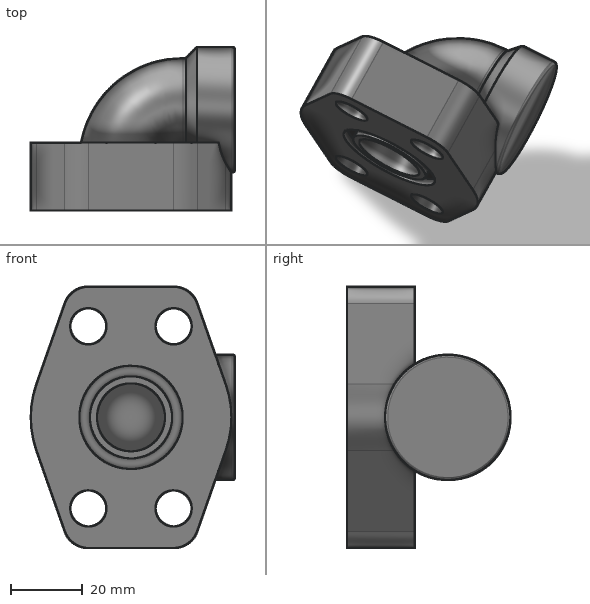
import cadquery as cq
import math

flange_height = 73.0
flange_width = 56.0
flange_thickness = 19.0
corner_radius = 7.0
bolt_x = 11.9
bolt_z = 25.4
bolt_diameter = 10.0

bore_diameter = 19.0
bore_depth = flange_thickness
groove_inner_diameter = 22.9
groove_outer_diameter = 28.8
groove_depth = 2.1

pipe_radius = 14.45
bend_radius = 14.5
outlet_y = 28.2
neck_length = 0.8

collar_radius = 17.5
collar_end_x = 29.0
collar_edge_radius = 0.7


def cylinder_along_y(diameter, depth):
    return cq.Workplane("XZ").circle(diameter / 2).extrude(-depth)


def make_flange():
    """Plate bounded by a central circle, rounded corners and their common tangents."""
    side_radius = flange_width / 2
    corner_x = bolt_x
    corner_z = flange_height / 2 - corner_radius
    tilt = math.atan2(corner_z, corner_x) - math.acos(
        (side_radius - corner_radius) / math.hypot(corner_x, corner_z)
    )
    corner_mid = (tilt + math.pi / 2) / 2

    def corner_point(angle):
        return (
            corner_x + corner_radius * math.cos(angle),
            corner_z + corner_radius * math.sin(angle),
        )

    side_x = side_radius * math.cos(tilt)
    side_z = side_radius * math.sin(tilt)
    end_x, end_z = corner_point(tilt)
    mid_x, mid_z = corner_point(corner_mid)
    top_z = flange_height / 2

    return (
        cq.Workplane("XZ")
        .moveTo(side_x, -side_z)
        .threePointArc((side_radius, 0), (side_x, side_z))
        .lineTo(end_x, end_z)
        .threePointArc((mid_x, mid_z), (corner_x, top_z))
        .lineTo(-corner_x, top_z)
        .threePointArc((-mid_x, mid_z), (-end_x, end_z))
        .lineTo(-side_x, side_z)
        .threePointArc((-side_radius, 0), (-side_x, -side_z))
        .lineTo(-end_x, -end_z)
        .threePointArc((-mid_x, -mid_z), (-corner_x, -top_z))
        .lineTo(corner_x, -top_z)
        .threePointArc((mid_x, -mid_z), (end_x, -end_z))
        .close()
        .extrude(-flange_thickness)
    )


def make_elbow():
    """Quarter bend that starts inside the flange and ends facing +X."""
    bend_start_y = outlet_y - bend_radius
    return (
        cq.Workplane("XZ", origin=(0, bend_start_y, 0))
        .circle(pipe_radius)
        .revolve(90, (bend_radius, 0.7, 0), (bend_radius, 0, 0))
    )


def make_collar():
    """Neck, 45 degree shoulder and rounded collar turned about the outlet axis."""
    shoulder_x = bend_radius + neck_length
    collar_x = shoulder_x + collar_radius - pipe_radius
    return (
        cq.Workplane("XY", origin=(0, outlet_y, 0))
        .moveTo(bend_radius, 0)
        .lineTo(bend_radius, pipe_radius)
        .lineTo(shoulder_x, pipe_radius)
        .lineTo(collar_x, collar_radius)
        .lineTo(collar_end_x - collar_edge_radius, collar_radius)
        .tangentArcPoint((collar_end_x, collar_radius - collar_edge_radius), relative=False)
        .lineTo(collar_end_x, 0)
        .close()
        .revolve(360, (0, 0, 0), (1, 0, 0))
    )


def make_bolt_holes():
    return (
        cq.Workplane("XZ")
        .rect(2 * bolt_x, 2 * bolt_z, forConstruction=True)
        .vertices()
        .circle(bolt_diameter / 2)
        .extrude(-flange_thickness)
    )


def make_groove():
    return cylinder_along_y(groove_outer_diameter, groove_depth).cut(
        cylinder_along_y(groove_inner_diameter, groove_depth)
    )


body = make_flange().union(make_elbow()).union(make_collar())
result = (
    body.cut(make_bolt_holes())
    .cut(make_groove())
    .cut(cylinder_along_y(bore_diameter, bore_depth))
)